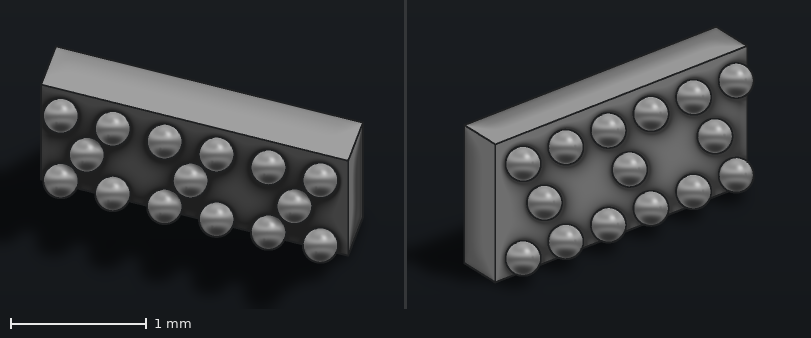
import cadquery as cq

body_length = 2.37
body_height = 1.17
body_thickness = 0.37

ball_radius = 0.13
total_depth = 0.6
ball_pitch = 0.4
outer_row_count = 6
middle_row_count = 3

ball_face_y = total_depth / 2 - body_thickness
ball_center_y = -total_depth / 2 + ball_radius


def row_points(count, spacing, z):
    """Ball centers of one row along X, centered on the body."""
    first_x = -spacing * (count - 1) / 2
    return [(first_x + i * spacing, ball_center_y, z) for i in range(count)]


def make_body():
    center_y = ball_face_y + body_thickness / 2
    return cq.Workplane("XY").box(body_length, body_thickness, body_height).translate((0, center_y, 0))


def make_ball(center):
    ball = cq.Workplane("XY").sphere(ball_radius, direct=(0, 1, 0))
    return ball.translate(center)


ball_centers = (
    row_points(outer_row_count, ball_pitch, ball_pitch)
    + row_points(middle_row_count, 2 * ball_pitch, 0)
    + row_points(outer_row_count, ball_pitch, -ball_pitch)
)

result = make_body()
for ball_center in ball_centers:
    result = result.union(make_ball(ball_center))